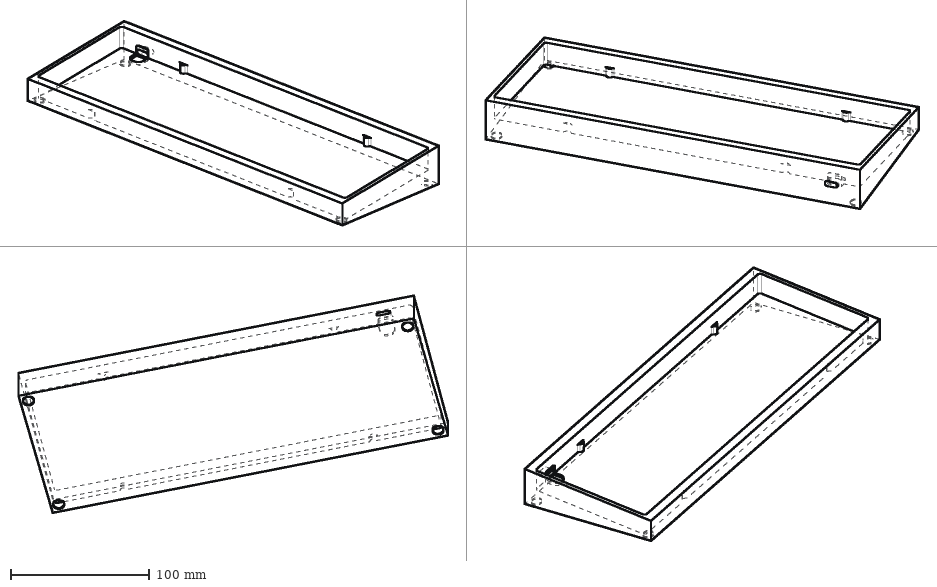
import cadquery as cq
import math

LENGTH = 293.7
DEPTH = 110.7
BACK_HEIGHT = 31.67
FRONT_HEIGHT = 18.2
UNDERSIDE_RISE = BACK_HEIGHT - FRONT_HEIGHT
SLOPE = math.degrees(math.atan2(UNDERSIDE_RISE, DEPTH))

SIDE_WALL = 3.2
END_WALL = 7.2
CAVITY_DEPTH = 17.7
CAVITY_LENGTH = LENGTH - 2 * SIDE_WALL
CAVITY_WIDTH = DEPTH - 2 * END_WALL
CORNER_RADIUS = 2.0
FLOOR_Z = BACK_HEIGHT - CAVITY_DEPTH
FRONT_INNER_Y = END_WALL
BACK_INNER_Y = DEPTH - END_WALL

POST_RADIUS = 2.4
POST_FILLET = 1.6
POST_HEIGHT = 7.0
FRONT_POST_SETBACK = 0.5
BACK_POST_SPACING = 171.5
FRONT_POST_SPACING = 185.5
BACK_POST_Y = BACK_INNER_Y
FRONT_POST_Y = FRONT_INNER_Y - FRONT_POST_SETBACK

POCKET_INSET = 22.6
POCKET_X = POCKET_INSET - LENGTH / 2
POCKET_WIDTH = 11.0
POCKET_REACH = 10.0
POCKET_CORNER_RADIUS = 4.5
POCKET_SINK = 2.0
POCKET_TOP_RADIUS = 1.5
POCKET_RISE = 7.0
POCKET_WALL_BITE = 0.5
OPENING_WIDTH = 10.0
OPENING_HEIGHT = 4.0
OPENING_RISE = 1.6
OPENING_Z = FLOOR_Z + OPENING_RISE

FOOT_DIAMETER = 8.0
FOOT_RECESS_DEPTH = 1.0
FOOT_INSET_X = 6.0
FOOT_INSET_SLOPE = 6.5


def wedge():
    profile = [(0, UNDERSIDE_RISE), (DEPTH, 0), (DEPTH, BACK_HEIGHT), (0, BACK_HEIGHT)]
    return cq.Workplane("YZ").polyline(profile).close().extrude(LENGTH / 2, both=True)


def cavity():
    floor_plane = cq.Workplane("XY", origin=(0, DEPTH / 2, FLOOR_Z))
    block = floor_plane.rect(CAVITY_LENGTH, CAVITY_WIDTH).extrude(CAVITY_DEPTH)
    return block.edges("|Z").fillet(CORNER_RADIUS)


def add_posts(body, spacing, post_y, wall_y):
    """Add a pair of round posts and blend them into the wall face at wall_y."""
    centers = [(-spacing / 2, post_y), (spacing / 2, post_y)]
    floor_plane = cq.Workplane("XY", origin=(0, 0, FLOOR_Z))
    body = body.union(floor_plane.pushPoints(centers).circle(POST_RADIUS).extrude(POST_HEIGHT))
    half_chord = math.sqrt(POST_RADIUS**2 - (wall_y - post_y) ** 2)
    for center_x, _ in centers:
        for edge_x in (center_x - half_chord, center_x + half_chord):
            corner = cq.NearestToPointSelector((edge_x, wall_y, FLOOR_Z + POST_HEIGHT / 2))
            body = body.edges(corner).fillet(POST_FILLET)
    return body


def connector_pocket():
    pocket = cq.Workplane("XY").box(
        POCKET_WIDTH,
        POCKET_REACH + POCKET_WALL_BITE,
        POCKET_SINK + POCKET_RISE,
        centered=(True, False, False),
    )
    pocket = pocket.edges("|Z and <Y").fillet(POCKET_CORNER_RADIUS)
    pocket = pocket.edges("|Y and >Z").fillet(POCKET_TOP_RADIUS)
    return pocket.translate((POCKET_X, BACK_INNER_Y - POCKET_REACH, FLOOR_Z - POCKET_SINK))


def plug_opening():
    outer_face = cq.Workplane("XZ", origin=(POCKET_X, DEPTH, OPENING_Z))
    return outer_face.slot2D(OPENING_WIDTH, OPENING_HEIGHT).extrude(END_WALL)


def foot_recesses():
    slope_length = math.hypot(DEPTH, UNDERSIDE_RISE)
    spacing_x = LENGTH - 2 * FOOT_INSET_X
    spacing_slope = slope_length - 2 * FOOT_INSET_SLOPE
    underside = cq.Workplane("XY", origin=(0, DEPTH / 2, UNDERSIDE_RISE / 2))
    underside = underside.transformed(rotate=(-SLOPE, 0, 0))
    return (
        underside.rect(spacing_x, spacing_slope, forConstruction=True)
        .vertices()
        .circle(FOOT_DIAMETER / 2)
        .extrude(FOOT_RECESS_DEPTH)
    )


result = wedge().cut(cavity())
result = add_posts(result, BACK_POST_SPACING, BACK_POST_Y, BACK_INNER_Y)
result = add_posts(result, FRONT_POST_SPACING, FRONT_POST_Y, FRONT_INNER_Y)
result = result.cut(connector_pocket()).cut(plug_opening()).cut(foot_recesses())